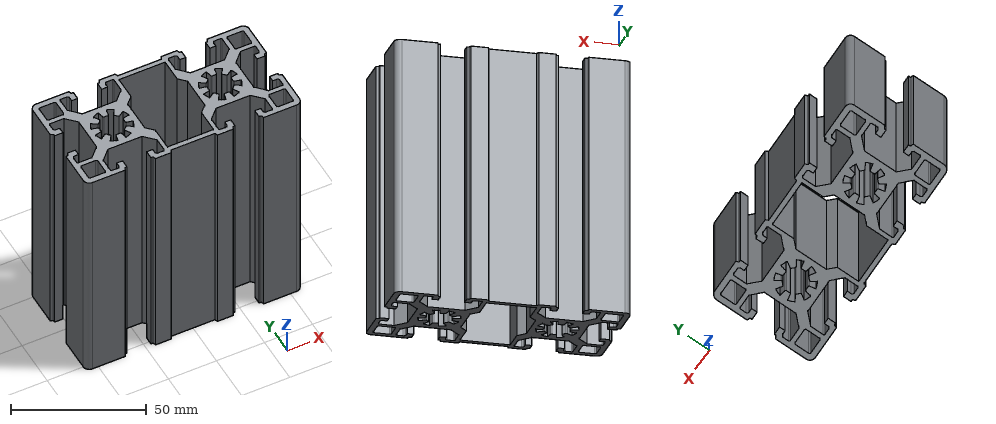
import cadquery as cq
import math

cell = 45.0
width = 2 * cell
length = 100.0
corner_radius = 2.5
half_cell = cell / 2

mouth_half = 5.0
step_outer_half = 6.3
step_inner_half = 5.9
step_depth = 1.2
step_radius = 0.4
lip_inner_half = 7.5
lip_depth = 4.6
pocket_depth = 2.1
pocket_half = 11.2
lip_pocket_radius = 0.9
wall_pocket_radius = 0.5
slot_depth = 12.3
floor_half = 7.1

hollow_side = 7.0
hollow_wall = 2.4
hollow_radius = 0.6

chamber_half = 9.6
chamber_waist_half = 12.5
chamber_half_height = 19.3
waist_half_height = 6.8
panel_depth = 1.2
panel_slope = 0.5

tooth_count = 8
tooth_tip_radius = 5.0
tooth_root_radius = 8.0
tip_half_width = 1.1
tip_radius = 0.4
root_half_width = 1.7
tooth_overlap = 1.0


def prism(outline):
    """Close an outline and extrude it over the full length."""
    return outline.close().extrude(length)


def rounded_corner(solid, x, y, radius):
    """Fillet the upright edge standing at (x, y)."""
    edge = cq.selectors.NearestToPointSelector((x, y, length / 2))
    return solid.edges("|Z").edges(edge).fillet(radius)


def t_slot():
    """T-slot cutter opening at the -Y face of a cell centred on the origin."""
    slope_depth = slot_depth - (pocket_half - floor_half)
    right = [
        (step_outer_half, 0),
        (step_inner_half, step_depth),
        (mouth_half, step_depth),
        (mouth_half, lip_depth),
        (lip_inner_half, lip_depth),
        (lip_inner_half, pocket_depth),
        (pocket_half, pocket_depth),
        (pocket_half, slope_depth),
        (floor_half, slot_depth),
    ]
    left = [(-x, depth) for x, depth in reversed(right)]
    points = [(x, depth - half_cell) for x, depth in right + left]
    slot = prism(cq.Workplane("XY").polyline(points))

    for side in (-1, 1):
        slot = rounded_corner(slot, side * step_inner_half, step_depth - half_cell, step_radius)
        slot = rounded_corner(slot, side * lip_inner_half, pocket_depth - half_cell, lip_pocket_radius)
        slot = rounded_corner(slot, side * pocket_half, pocket_depth - half_cell, wall_pocket_radius)
    return slot


def core_bore():
    """Bore cutter with inward teeth whose flanks widen towards the root."""
    pitch = 360 / tooth_count
    root_reach = math.sqrt(tooth_root_radius**2 - root_half_width**2)
    bore = cq.Workplane("XY").circle(tooth_root_radius).extrude(length)
    buried_end = tooth_root_radius + tooth_overlap
    tooth = prism(
        cq.Workplane("XY").polyline(
            [
                (tooth_tip_radius, -tip_half_width),
                (root_reach, -root_half_width),
                (buried_end, -root_half_width),
                (buried_end, root_half_width),
                (root_reach, root_half_width),
                (tooth_tip_radius, tip_half_width),
            ]
        )
    )
    for side in (-1, 1):
        tooth = rounded_corner(tooth, tooth_tip_radius, side * tip_half_width, tip_radius)
    for index in range(tooth_count):
        bore = bore.cut(tooth.rotate((0, 0, 0), (0, 0, 1), index * pitch))
    return bore


def central_chamber():
    """Full-height chamber between the cores, widened at its waist by 45 degree slopes."""
    slope_end = waist_half_height + chamber_waist_half - chamber_half
    quarter = [
        (chamber_waist_half, waist_half_height),
        (chamber_half, slope_end),
        (chamber_half, chamber_half_height),
    ]
    upper = quarter + [(-x, y) for x, y in reversed(quarter)]
    lower = [(-x, -y) for x, y in upper]
    return prism(cq.Workplane("XY").polyline(upper + lower))


def panel_recess():
    """Shallow recess with sloping ends in the -Y face outside the chamber."""
    floor = panel_depth - half_cell
    bottom_half = chamber_half - panel_slope
    return prism(
        cq.Workplane("XY").polyline(
            [
                (-chamber_half, -half_cell),
                (chamber_half, -half_cell),
                (bottom_half, floor),
                (-bottom_half, floor),
            ]
        )
    )


def corner_hollows():
    """Four square hollow cutters with rounded corners."""
    x = width / 2 - hollow_wall - hollow_side / 2
    y = half_cell - hollow_wall - hollow_side / 2
    return (
        cq.Workplane("XY")
        .pushPoints([(-x, -y), (-x, y), (x, -y), (x, y)])
        .rect(hollow_side, hollow_side)
        .extrude(length)
        .edges("|Z")
        .fillet(hollow_radius)
    )


def turned(cutter, angle):
    """Turn a cutter about the Z axis."""
    return cutter.rotate((0, 0, 0), (0, 0, 1), angle)


body = cq.Workplane("XY").rect(width, cell).extrude(length)
body = body.edges("|Z").fillet(corner_radius)

slot = t_slot()
bore = core_bore()
for side in (-1, 1):
    cell_centre = (side * half_cell, 0, 0)
    for angle in (0, side * 90, 180):
        body = body.cut(turned(slot, angle).translate(cell_centre))
    body = body.cut(bore.translate(cell_centre))

recess = panel_recess()
for angle in (0, 180):
    body = body.cut(turned(recess, angle))

result = body.cut(central_chamber()).cut(corner_hollows()).translate((0, 0, -length / 2))